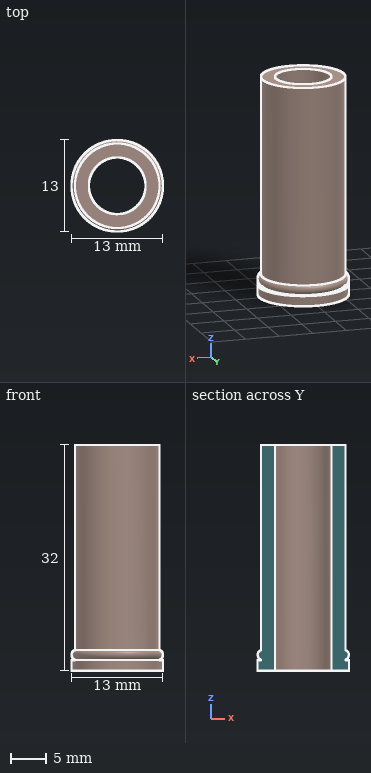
import math

import cadquery as cq

BORE_DIAMETER = 8.0
TUBE_DIAMETER = 12.0
FLANGE_DIAMETER = 13.0
TOTAL_HEIGHT = 32.0
FLANGE_HEIGHT = 1.5
BEAD_CORD_DIAMETER = 1.5

bore_radius = BORE_DIAMETER / 2
tube_radius = TUBE_DIAMETER / 2
flange_radius = FLANGE_DIAMETER / 2

bead_cord_radius = BEAD_CORD_DIAMETER / 2
bead_center_radius = flange_radius - bead_cord_radius
bead_middle = FLANGE_HEIGHT + bead_cord_radius

bead_half_chord = math.sqrt(bead_cord_radius**2 - (tube_radius - bead_center_radius) ** 2)
bead_bottom = bead_middle - bead_half_chord
bead_top = bead_middle + bead_half_chord


def make_sleeve():
    """Revolve the wall section: base flange, round bead above it, plain tube and through bore."""
    section = (
        cq.Workplane("XZ")
        .moveTo(bore_radius, 0)
        .lineTo(flange_radius, 0)
        .lineTo(flange_radius, FLANGE_HEIGHT)
        .lineTo(tube_radius, FLANGE_HEIGHT)
        .lineTo(tube_radius, bead_bottom)
        .threePointArc((flange_radius, bead_middle), (tube_radius, bead_top))
        .lineTo(tube_radius, TOTAL_HEIGHT)
        .lineTo(bore_radius, TOTAL_HEIGHT)
        .close()
    )
    return section.revolve(360, (0, 0, 0), (0, 1, 0))


result = make_sleeve()